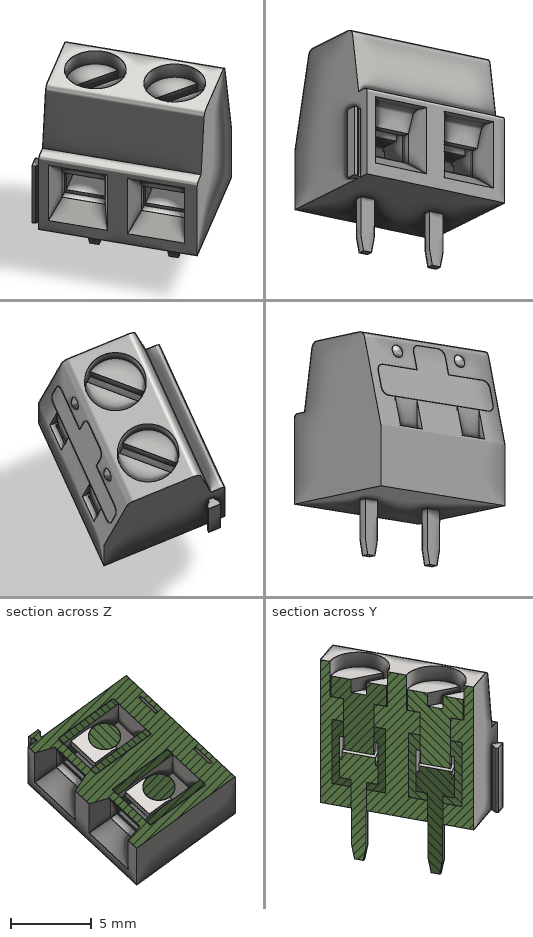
import cadquery as cq
import math


WAYS = 2
PITCH = 5.08
HOUSING_WIDTH = WAYS * PITCH

DEPTH = 8.15
HEIGHT = 9.97
LIP_HEIGHT = 5.66
LIP_DEPTH = 0.94
LIP_RADIUS = 0.27
FRONT_LEAN = math.radians(10)
REAR_LEAN = math.radians(15)
REAR_WALL_HEIGHT = 3.84
CREST_RADIUS = 0.5
MID_Y = DEPTH / 2

RIB_REACH = 0.57
RIB_TAPER_START = 0.35
RIB_NECK_LENGTH = 0.13
RIB_WIDTH = 0.8
RIB_NECK_WIDTH = 0.4
RIB_HEIGHT = 4.47
RIB_Y = 0.94

FUNNEL_DEPTH = 1.3
FUNNEL_BOTTOM = 0.82
FUNNEL_TOP = 5.16
FUNNEL_ROOF_RADIUS = 0.5
FUNNEL_ROOF_LEAN = math.radians(15)
FUNNEL_LEFT_MARGIN = 0.63
FUNNEL_RIGHT_MARGINS = [0.67, 0.81]
WINDOW_WIDTH = 2.75
WINDOW_BOTTOM = 1.78
WINDOW_TOP = 3.72

SHEET = 0.5
SLEEVE_FRONT = 1.82
SLEEVE_DEPTH = 2 * (MID_Y - SLEEVE_FRONT)
SLEEVE_OPENING_WIDTH = 2.5
SLEEVE_WIDTH = SLEEVE_OPENING_WIDTH + 2 * SHEET
SLEEVE_FLOOR_TOP = 2.01
SLEEVE_BOTTOM = SLEEVE_FLOOR_TOP - SHEET
SLEEVE_ROOF_BOTTOM = 4.85
SLEEVE_TOP = 5.93

LEG_WIDTH = 1.0
LEG_LENGTH = 3.5
TIP_WIDTH = 0.59
TIP_LENGTH = 1.0
SHOULDER_HEIGHT = 3.29
TAB_WIDTH = 2.24
TAB_FRONT = 2.29
BEND_RADIUS = 0.19
TAB_BOTTOM = SHOULDER_HEIGHT + BEND_RADIUS
TAB_TOP = TAB_BOTTOM + SHEET
PIN_FRONT = MID_Y - SHEET / 2
PIN_BACK = MID_Y + SHEET / 2

BORE_DIAMETER = 3.8
HEAD_DIAMETER = 3.7
HEAD_TOP = 8.97
HEAD_BOTTOM = 7.54
SHANK_DIAMETER = 2.0
SLOT_WIDTH = 0.7
SLOT_DEPTH = 0.9
SLOT_ANGLE = 45

PLATE_CENTRE_X = 4.97
PLATE_WIDTH = 9.13
PLATE_LOW = 2.14
PLATE_HEIGHT = 2.09
PLATE_TAB_WIDTH = 2.59
PLATE_TAB_HEIGHT = 1.7
PLATE_CORNER = 0.5
PLATE_THICKNESS = 0.03
BUMP_UP_SLOPE = 5.31
BUMP_RADIUS = 0.5
BUMP_RISE = 0.22

NOTCH_WIDTH = 1.78
NOTCH_FLOOR = 4.0
NOTCH_FRONT = DEPTH - PLATE_LOW * math.sin(REAR_LEAN)
SLIT_WIDTH = 1.51
SLIT_BACK = 7.76
SLIT_DEPTH = 0.5

WAY_CENTRES = [(way + 0.5) * PITCH for way in range(WAYS)]


def block(x_mid, width, y_range, z_range):
    """Box centred on x_mid in X, spanning the given Y and Z ranges."""
    (y0, y1), (z0, z1) = y_range, z_range
    return cq.Workplane("XY").box(width, y1 - y0, z1 - z0, centered=(True, False, False)).translate(
        (x_mid, y0, z0)
    )


def upright_cylinder(x_mid, diameter, z0, z1):
    """Vertical cylinder on the screw axis of a way."""
    return cq.Workplane("XY", origin=(x_mid, MID_Y, z0)).circle(diameter / 2).extrude(z1 - z0)


def housing_shell():
    """Solid housing outline with its rounded lip and crest."""
    crest_front = LIP_DEPTH + (HEIGHT - LIP_HEIGHT) * math.tan(FRONT_LEAN)
    crest_back = DEPTH - (HEIGHT - REAR_WALL_HEIGHT) * math.tan(REAR_LEAN)
    shell = (
        cq.Workplane("YZ")
        .moveTo(0, 0)
        .lineTo(DEPTH, 0)
        .lineTo(DEPTH, REAR_WALL_HEIGHT)
        .lineTo(crest_back, HEIGHT)
        .lineTo(crest_front, HEIGHT)
        .lineTo(LIP_DEPTH, LIP_HEIGHT)
        .lineTo(0, LIP_HEIGHT)
        .close()
        .extrude(HOUSING_WIDTH)
    )
    shell = shell.faces(">Z").edges("|X").fillet(CREST_RADIUS)
    return shell.faces("<Y").edges(">Z").fillet(LIP_RADIUS)


def dovetail_rib():
    """Vertical rib that hooks into a neighbouring block."""
    half_head = RIB_WIDTH / 2
    half_neck = RIB_NECK_WIDTH / 2
    return (
        cq.Workplane("XY", origin=(0, RIB_Y, 0))
        .moveTo(0, -half_neck)
        .lineTo(-RIB_NECK_LENGTH, -half_neck)
        .lineTo(-RIB_TAPER_START, -half_head)
        .lineTo(-RIB_REACH, -half_head)
        .lineTo(-RIB_REACH, half_head)
        .lineTo(-RIB_TAPER_START, half_head)
        .lineTo(-RIB_NECK_LENGTH, half_neck)
        .lineTo(0, half_neck)
        .close()
        .extrude(RIB_HEIGHT)
    )


def wire_entry(x_mid, right_margin):
    """Tapered funnel with a curved roof, ending in a straight window into the sleeve cavity."""
    roof_corner = FUNNEL_DEPTH - (FUNNEL_TOP - WINDOW_TOP) * math.tan(FUNNEL_ROOF_LEAN)
    side_profile = (
        cq.Workplane("YZ", origin=(x_mid - PITCH / 2, 0, 0))
        .moveTo(0, FUNNEL_BOTTOM)
        .lineTo(FUNNEL_DEPTH, WINDOW_BOTTOM)
        .lineTo(FUNNEL_DEPTH, WINDOW_TOP)
        .lineTo(roof_corner, FUNNEL_TOP)
        .lineTo(0, FUNNEL_TOP)
        .close()
        .extrude(PITCH)
        .faces(">Z")
        .edges(">Y")
        .fillet(FUNNEL_ROOF_RADIUS)
    )
    plan = (
        cq.Workplane("XY")
        .moveTo(x_mid - PITCH / 2 + FUNNEL_LEFT_MARGIN, 0)
        .lineTo(x_mid + PITCH / 2 - right_margin, 0)
        .lineTo(x_mid + WINDOW_WIDTH / 2, FUNNEL_DEPTH)
        .lineTo(x_mid - WINDOW_WIDTH / 2, FUNNEL_DEPTH)
        .close()
        .extrude(HEIGHT)
    )
    window = block(x_mid, WINDOW_WIDTH, (FUNNEL_DEPTH, SLEEVE_FRONT), (WINDOW_BOTTOM, WINDOW_TOP))
    return side_profile.intersect(plan).union(window)


def sleeve_envelope(x_mid):
    """Outer block of a sleeve, which is also the cavity it sits in."""
    y_range = (SLEEVE_FRONT, SLEEVE_FRONT + SLEEVE_DEPTH)
    return block(x_mid, SLEEVE_WIDTH, y_range, (SLEEVE_BOTTOM, SLEEVE_TOP))


def leg_passage(x_mid):
    """Rectangular passage for a pin leg, from the base up to the sleeve floor."""
    return block(x_mid, LEG_WIDTH, (PIN_FRONT, PIN_BACK), (0, SLEEVE_FLOOR_TOP))


def rear_notch(x_mid):
    """Notch at the foot of the rear slope, with a narrow slit along its inner wall."""
    notch = block(x_mid, NOTCH_WIDTH, (NOTCH_FRONT, DEPTH), (NOTCH_FLOOR, HEIGHT))
    slit = block(x_mid, SLIT_WIDTH, (NOTCH_FRONT, SLIT_BACK), (NOTCH_FLOOR - SLIT_DEPTH, NOTCH_FLOOR))
    return notch.union(slit)


def rear_slope_plane():
    """Plane on the rear slope: local Y up the slope from its foot, local X toward -X."""
    return cq.Plane(
        origin=(0, DEPTH, REAR_WALL_HEIGHT),
        xDir=(-1, 0, 0),
        normal=(0, math.cos(REAR_LEAN), math.sin(REAR_LEAN)),
    )


def raised_plate():
    """Thin rounded plate with a central tab, lying on the rear slope."""
    plate_top = PLATE_LOW + PLATE_HEIGHT
    tab_top = plate_top + PLATE_TAB_HEIGHT
    corner_edges = cq.selectors.ParallelDirSelector(rear_slope_plane().zDir)
    strip = (
        cq.Workplane(rear_slope_plane())
        .center(-PLATE_CENTRE_X, PLATE_LOW + PLATE_HEIGHT / 2)
        .rect(PLATE_WIDTH, PLATE_HEIGHT)
        .extrude(PLATE_THICKNESS)
        .edges(corner_edges)
        .fillet(PLATE_CORNER)
    )
    tab = (
        cq.Workplane(rear_slope_plane())
        .center(-PLATE_CENTRE_X, (PLATE_LOW + tab_top) / 2)
        .rect(PLATE_TAB_WIDTH, tab_top - PLATE_LOW)
        .extrude(PLATE_THICKNESS)
        .edges(corner_edges)
        .edges(">Z")
        .fillet(PLATE_CORNER)
    )
    return strip.union(tab)


def rear_bump(x_mid):
    """Sphere sunk into the rear slope so that a shallow dome stands out."""
    return (
        cq.Workplane(rear_slope_plane())
        .center(-x_mid, BUMP_UP_SLOPE)
        .workplane(offset=BUMP_RISE - BUMP_RADIUS)
        .sphere(BUMP_RADIUS)
    )


def make_housing():
    housing = housing_shell().union(dovetail_rib())
    for x_mid in WAY_CENTRES:
        housing = housing.cut(rear_notch(x_mid))
    housing = housing.union(raised_plate())
    for x_mid, right_margin in zip(WAY_CENTRES, FUNNEL_RIGHT_MARGINS):
        housing = housing.union(rear_bump(x_mid))
        housing = housing.cut(wire_entry(x_mid, right_margin))
        housing = housing.cut(sleeve_envelope(x_mid))
        housing = housing.cut(leg_passage(x_mid))
        housing = housing.cut(upright_cylinder(x_mid, BORE_DIAMETER, HEAD_BOTTOM, HEIGHT))
        housing = housing.cut(upright_cylinder(x_mid, SHANK_DIAMETER, SLEEVE_TOP, HEAD_BOTTOM))
    return housing


def make_sleeve(x_mid):
    """Box sleeve open front to back, with a screw hole in its roof and a pin slot in its floor."""
    y_range = (SLEEVE_FRONT, SLEEVE_FRONT + SLEEVE_DEPTH)
    opening = block(x_mid, SLEEVE_OPENING_WIDTH, y_range, (SLEEVE_FLOOR_TOP, SLEEVE_ROOF_BOTTOM))
    screw_hole = upright_cylinder(x_mid, SHANK_DIAMETER, SLEEVE_ROOF_BOTTOM, SLEEVE_TOP)
    return sleeve_envelope(x_mid).cut(opening).cut(screw_hole).cut(leg_passage(x_mid))


def make_screw(x_mid):
    """Slotted screw whose shank end rests on the pin tab."""
    head = upright_cylinder(x_mid, HEAD_DIAMETER, HEAD_BOTTOM, HEAD_TOP)
    shank = upright_cylinder(x_mid, SHANK_DIAMETER, TAB_TOP, HEAD_BOTTOM)
    slot = (
        cq.Workplane("XY", origin=(x_mid, MID_Y, HEAD_TOP - SLOT_DEPTH))
        .transformed(rotate=(0, 0, SLOT_ANGLE))
        .rect(HEAD_DIAMETER, SLOT_WIDTH)
        .extrude(SLOT_DEPTH)
    )
    return head.union(shank).cut(slot)


def make_pin(x_mid):
    """Sheet pin: tapered leg, wider plate inside the sleeve, and a tab bent forward."""
    leg = (
        cq.Workplane("XZ", origin=(x_mid, PIN_BACK, 0))
        .moveTo(-TIP_WIDTH / 2, -LEG_LENGTH)
        .lineTo(TIP_WIDTH / 2, -LEG_LENGTH)
        .lineTo(LEG_WIDTH / 2, TIP_LENGTH - LEG_LENGTH)
        .lineTo(LEG_WIDTH / 2, SLEEVE_FLOOR_TOP)
        .lineTo(-LEG_WIDTH / 2, SLEEVE_FLOOR_TOP)
        .lineTo(-LEG_WIDTH / 2, TIP_LENGTH - LEG_LENGTH)
        .close()
        .extrude(SHEET)
    )
    plate_z = (SLEEVE_FLOOR_TOP, SHOULDER_HEIGHT)
    plate = block(x_mid, SLEEVE_OPENING_WIDTH, (PIN_FRONT, PIN_BACK), plate_z)
    bend_y = PIN_FRONT - BEND_RADIUS
    tab = (
        cq.Workplane("YZ", origin=(x_mid - TAB_WIDTH / 2, 0, 0))
        .moveTo(PIN_BACK, SHOULDER_HEIGHT)
        .radiusArc((bend_y, TAB_TOP), -(BEND_RADIUS + SHEET))
        .lineTo(TAB_FRONT, TAB_TOP)
        .lineTo(TAB_FRONT, TAB_BOTTOM)
        .lineTo(bend_y, TAB_BOTTOM)
        .radiusArc((PIN_FRONT, SHOULDER_HEIGHT), BEND_RADIUS)
        .close()
        .extrude(TAB_WIDTH)
    )
    return leg.union(plate).union(tab)


housing = make_housing()
sleeves = [make_sleeve(x_mid).val() for x_mid in WAY_CENTRES]
screws = [make_screw(x_mid).val() for x_mid in WAY_CENTRES]
pins = [make_pin(x_mid).val() for x_mid in WAY_CENTRES]

result = cq.Compound.makeCompound([housing.val(), *sleeves, *screws, *pins])